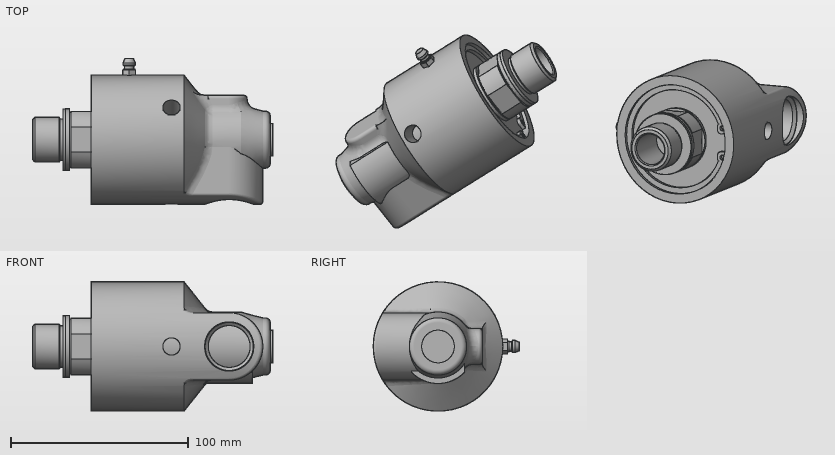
import cadquery as cq
LENGTH = 135.5

THREAD_D = 25.3
THREAD_CHAMFER = 1.4
THREAD_END = 14.9
UNDERCUT_D = 23.6
UNDERCUT_START = 15.6
BORE_D = 17.5
BORE_DEPTH = 27.1
BORE_CHAMFER = 0.7
WASHER_D = 34.8
WASHER_END = 18.7
WASHER_START = 17.1
FLANGE_END = 20.9
GROOVE_D = 31.2
GROOVE_END = 21.7
WRENCH_D = 35.0
WRENCH_FLATS = 32.0
REAR_GROOVE_START = 34.7
WRENCH_FLATS_END = 35.2
WRENCH_END = 38.0

BODY_D = 73.0
BODY_START = 33.0
BODY_END = 85.4
CONE_END = 98.9
NOSE_D = 38.9
TAPER_START = 117.6
TIP_D = 32.2
TIP_START = 130.1
TIP_END = 134.0
TIP_FILLET = 2.7
CAP_D = 18.4
BLEND_R = 5.7

RECESS_D = 62.5
RECESS_DEPTH = 4.0
RING_OFFSET = 2.0
RING_THICKNESS = 2.0
RING_INNER_D = 56.1
RING_GAP = 10.3
LUG_WIDTH = 6.1
LUG_INNER_Y = -25.5
LUG_CORNER_R = 2.0
LUG_HOLE_D = 2.8
LUG_HOLE_Y = -28.5
LUG_HOLE_Z = 8.4

PORT_X = 110.8
ARM_HALF_HEIGHT = 19.0
ARM_EDGE_R = 1.6
ARM_STOCK_Y = -46.1
ARM_RIM_LIMIT_Y = -27.1
ARM_ZONE_HALF_HEIGHT = 20.6
PORT_MOUTH_D = 27.8
PORT_D = 23.6
PORT_CONE_Y = -32.5
PORT_LEDGE_D = 27.1

INNER_WALL_R = 20.7

REAR_BOSS_R = 10.2
REAR_BOSS_Y = 25.0
REAR_EDGE_R = 2.0
REAR_EDGE_START = 98.9

PAD_R = 20.9
PAD_START = 88.1
PAD_END = 123.8
PAD_WIDTH = 29.8

DRAIN_X = 78.3
DRAIN_D = 9.8
DRAIN_COUNT = 3

NIPPLE_X = 54.5
NIPPLE_ROOT = 35.2
NIPPLE_HEX_D = 8.5
NIPPLE_HEX_TOP = 39.3
NIPPLE_COLLAR_D = 6.4
NIPPLE_COLLAR_TOP = 40.0
NIPPLE_NECK_D = 5.4
NIPPLE_NECK_TOP = 41.5
NIPPLE_HEAD_D = 7.0
NIPPLE_HEAD_START = 42.0
NIPPLE_HEAD_END = 43.4
NIPPLE_TIP_D = 4.9
NIPPLE_TOP = 45.8

STOCK_START = 67.8
TOLERANCE = 0.01

BODY_R = BODY_D / 2
NOSE_R = NOSE_D / 2
CONE_SLOPE = (BODY_R - NOSE_R) / (CONE_END - BODY_END)


def cylinder_x(diameter, start, end):
    return cq.Workplane("YZ", origin=(start, 0, 0)).circle(diameter / 2).extrude(end - start)


def revolve_x(points):
    """Solid of revolution about X from (x, radius) points that start and end on the axis."""
    return cq.Workplane("XY").polyline(points).close().revolve(360, (0, 0, 0), (1, 0, 0))


def port_slab(half_height, y_start, y_end):
    """Slab from the cone to the port axis with a round end, running along Y."""
    width = y_end - y_start
    start = STOCK_START + 1.4
    block = cq.Workplane("XY", origin=(start, y_start, -half_height)).box(
        PORT_X - start, width, 2 * half_height, centered=False
    )
    round_end = cq.Workplane("XZ", origin=(PORT_X, y_end, 0)).circle(half_height).extrude(width)
    return block.union(round_end)


def is_blend_edge(edge):
    """Inside corners of the cone with the nose and both slabs, and of the rear slab with the nose."""
    box = edge.BoundingBox()
    if edge.geomType() == "CIRCLE":
        return abs(box.xmin - CONE_END) < TOLERANCE and box.xlen < TOLERANCE
    if edge.geomType() == "BSPLINE":
        return box.ymin > 0
    return edge.geomType() == "HYPERBOLA"


def make_head():
    cone_stock_r = BODY_R + CONE_SLOPE * (BODY_END - STOCK_START)
    core = revolve_x([
        (STOCK_START, 0), (STOCK_START, cone_stock_r), (CONE_END, NOSE_R), (TAPER_START, NOSE_R),
        (TIP_START, TIP_D / 2), (TIP_END, TIP_D / 2), (TIP_END, 0),
    ])
    arm = port_slab(ARM_HALF_HEIGHT, ARM_STOCK_Y, 0)
    rear = port_slab(REAR_BOSS_R, 0, REAR_BOSS_Y)
    head = core.union(arm).union(rear)
    head = head.faces(">X").edges().fillet(TIP_FILLET)
    blend_edges = [edge for edge in head.edges().vals() if is_blend_edge(edge)]
    return head.newObject(blend_edges).fillet(BLEND_R)


def arm_rim_edges(solid):
    return [
        edge for edge in solid.edges().vals()
        if edge.BoundingBox().ymax < ARM_RIM_LIMIT_Y and edge.BoundingBox().xlen > 1.4
    ]


def make_housing():
    """Head trimmed to the body diameter, joined to the body, with its outer edges rounded."""
    barrel = cylinder_x(BODY_D, BODY_START, BODY_END)
    trimmed_head = make_head().intersect(cylinder_x(BODY_D, BODY_END, LENGTH))
    housing = barrel.union(trimmed_head).clean()
    rounded = housing.newObject(arm_rim_edges(housing)).fillet(ARM_EDGE_R)
    arm_zone = cq.Workplane("XY", origin=(BODY_END - 2 * ARM_EDGE_R, -BODY_D, -ARM_ZONE_HALF_HEIGHT)).box(
        LENGTH, BODY_D + ARM_RIM_LIMIT_Y, 2 * ARM_ZONE_HALF_HEIGHT, centered=False
    )
    return housing.cut(arm_zone).union(rounded.intersect(arm_zone))


def round_rear_boss(housing):
    """Round the top rim of the rear boss, from the cone blend onward."""
    slab = port_slab(REAR_BOSS_R, 0, REAR_BOSS_Y)
    rounded_slab = slab.faces(">Y").edges("not <X").fillet(REAR_EDGE_R)
    rim = slab.cut(rounded_slab).intersect(cylinder_x(2 * BODY_D, REAR_EDGE_START, LENGTH))
    return housing.cut(rim)


def make_bottom_pad():
    length = PAD_END - PAD_START
    block = cq.Workplane("XY", origin=(PAD_START, -PAD_WIDTH / 2, -PAD_R))
    block = block.box(length, PAD_WIDTH, PAD_R, centered=False)
    return block.intersect(cylinder_x(2 * PAD_R, PAD_START, PAD_END))


def make_port():
    """Side port from the main axis outward, with a narrow ledge and a cone below its mouth."""
    cone_depth = (PORT_LEDGE_D - PORT_D) / 2
    profile = [
        (0, 0), (PORT_D / 2, 0), (PORT_D / 2, PORT_CONE_Y + cone_depth),
        (PORT_LEDGE_D / 2, PORT_CONE_Y), (PORT_MOUTH_D / 2, PORT_CONE_Y),
        (PORT_MOUTH_D / 2, -BODY_R), (0, -BODY_R),
    ]
    port = cq.Workplane("XY").polyline(profile).close().revolve(360, (0, 0, 0), (0, 1, 0))
    return port.translate((PORT_X, 0, 0))


def make_drain_holes():
    """Radial holes, the first one in the -Y side."""
    drill = cq.Workplane("XZ", origin=(DRAIN_X, 0, 0)).circle(DRAIN_D / 2).extrude(BODY_R)
    holes = drill
    for index in range(1, DRAIN_COUNT):
        holes = holes.union(drill.rotate((0, 0, 0), (1, 0, 0), index * 360 / DRAIN_COUNT))
    return holes


def make_snap_ring():
    """Split ring in the recess, with two drilled lugs beside a gap on the -Y side."""
    start = BODY_START + RING_OFFSET
    plane = cq.Workplane("YZ", origin=(start, 0, 0))
    ring = plane.circle(RECESS_D / 2).circle(RING_INNER_D / 2).extrude(RING_THICKNESS)
    gap = plane.center(-RECESS_D / 2, 0).rect(RECESS_D / 2, RING_GAP).extrude(RING_THICKNESS)
    ring = ring.cut(gap)
    lug_length = RECESS_D / 2 + LUG_INNER_Y
    for side in (1, -1):
        lug = (
            plane.center(LUG_INNER_Y - lug_length / 2, side * (RING_GAP + LUG_WIDTH) / 2)
            .rect(lug_length, LUG_WIDTH)
            .extrude(RING_THICKNESS)
            .edges("|X and >Y")
            .fillet(LUG_CORNER_R)
        )
        hole = plane.center(LUG_HOLE_Y, side * LUG_HOLE_Z).circle(LUG_HOLE_D / 2).extrude(RING_THICKNESS)
        ring = ring.union(lug).cut(hole)
    return ring.intersect(cylinder_x(RECESS_D, BODY_START, BODY_END))


def make_shaft():
    thread_r = THREAD_D / 2
    washer_r = WASHER_D / 2
    shaft = revolve_x([
        (0, 0), (0, thread_r - THREAD_CHAMFER), (THREAD_CHAMFER, thread_r), (THREAD_END, thread_r),
        (UNDERCUT_START, UNDERCUT_D / 2), (WASHER_START, UNDERCUT_D / 2),
        (WASHER_START, washer_r), (WASHER_END, washer_r),
        (WASHER_END, WRENCH_D / 2), (FLANGE_END, WRENCH_D / 2),
        (FLANGE_END, GROOVE_D / 2), (GROOVE_END, GROOVE_D / 2),
        (GROOVE_END, WRENCH_D / 2), (REAR_GROOVE_START, WRENCH_D / 2),
        (REAR_GROOVE_START, GROOVE_D / 2), (WRENCH_FLATS_END, GROOVE_D / 2),
        (WRENCH_FLATS_END, WRENCH_D / 2), (WRENCH_END, WRENCH_D / 2), (WRENCH_END, 0),
    ])
    flats = cq.Workplane("YZ", origin=(GROOVE_END, 0, 0)).rect(WRENCH_FLATS, WRENCH_FLATS)
    waste = cylinder_x(2 * WRENCH_D, GROOVE_END, WRENCH_FLATS_END).cut(
        flats.extrude(WRENCH_FLATS_END - GROOVE_END)
    )
    shaft = shaft.cut(waste)
    bore = cylinder_x(BORE_D, 0, BORE_DEPTH)
    mouth_r = BORE_D / 2 + BORE_CHAMFER
    countersink = revolve_x([(0, 0), (0, mouth_r), (mouth_r, 0)])
    return shaft.cut(bore).cut(countersink)


def make_nipple():
    plane = cq.Workplane("XZ", origin=(NIPPLE_X, NIPPLE_ROOT, 0))
    hexagon = plane.transformed(rotate=(0, 0, 90)).polygon(6, NIPPLE_HEX_D).extrude(
        NIPPLE_ROOT - NIPPLE_HEX_TOP
    )
    neck_r = NIPPLE_NECK_D / 2
    head_r = NIPPLE_HEAD_D / 2
    collar_r = NIPPLE_COLLAR_D / 2
    profile = [
        (0, NIPPLE_ROOT), (collar_r, NIPPLE_ROOT), (collar_r, NIPPLE_COLLAR_TOP),
        (neck_r, NIPPLE_COLLAR_TOP), (neck_r, NIPPLE_NECK_TOP), (head_r, NIPPLE_HEAD_START),
        (head_r, NIPPLE_HEAD_END), (NIPPLE_TIP_D / 2, NIPPLE_TOP), (0, NIPPLE_TOP),
    ]
    stem = cq.Workplane("XY").polyline(profile).close().revolve(360, (0, 0, 0), (0, 1, 0))
    return hexagon.union(stem.translate((NIPPLE_X, 0, 0)))


housing = round_rear_boss(make_housing())
housing = housing.union(make_bottom_pad()).union(cylinder_x(CAP_D, TIP_END - 1.4, LENGTH))
radial_openings = make_port().union(make_drain_holes())
housing = housing.cut(radial_openings.cut(cylinder_x(2 * INNER_WALL_R, BODY_START, LENGTH)))
housing = housing.cut(cylinder_x(RECESS_D, BODY_START, BODY_START + RECESS_DEPTH))
result = housing.union(make_snap_ring()).union(make_shaft()).union(make_nipple())